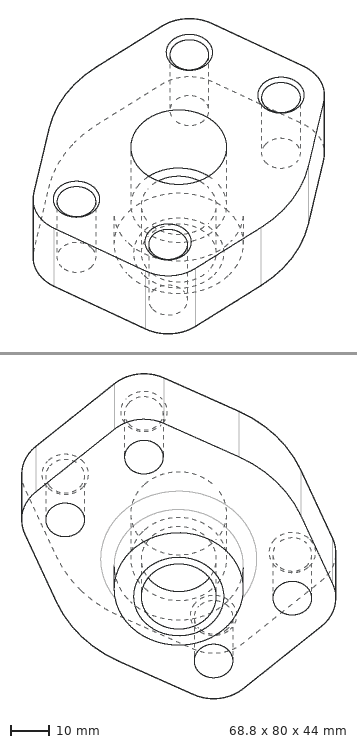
import cadquery as cq
import math

width = 68.8
length = 80.0
plate_height = 24.2
total_height = 44.0

bolt_x = 13.9
bolt_y = 28.6
bolt_diameter = 10.1
countersink_diameter = 12.1
corner_radius = length / 2 - bolt_y
side_radius = width / 2

neck_diameter = 33.7
neck_tip_diameter = 23.5
neck_chamfer_height = 4.0
neck_fillet = 3.5

bore_diameter = 19.5
counterbore_diameter = 25.0
counterbore_depth = plate_height

centre_distance = math.hypot(bolt_x, bolt_y)
flank_angle = math.atan2(bolt_y, bolt_x) - math.acos((side_radius - corner_radius) / centre_distance)
corner_mid_angle = (flank_angle + math.pi / 2) / 2


def corner_point(angle, x_sign, y_sign):
    """Point on a plate corner arc, mirrored into the chosen quadrant."""
    x = bolt_x + corner_radius * math.cos(angle)
    y = bolt_y + corner_radius * math.sin(angle)
    return (x_sign * x, y_sign * y)


def side_point(x_sign, y_sign):
    """End of a side arc, where it meets a straight flank."""
    x = side_radius * math.cos(flank_angle)
    y = side_radius * math.sin(flank_angle)
    return (x_sign * x, y_sign * y)


def make_plate():
    outline = cq.Workplane("XY").moveTo(*side_point(1, -1))
    for sign in (1, -1):
        outline = (
            outline.threePointArc((sign * side_radius, 0), side_point(sign, sign))
            .lineTo(*corner_point(flank_angle, sign, sign))
            .threePointArc(
                corner_point(corner_mid_angle, sign, sign),
                corner_point(math.pi / 2, sign, sign),
            )
            .lineTo(*corner_point(math.pi / 2, -sign, sign))
            .threePointArc(
                corner_point(corner_mid_angle, -sign, sign),
                corner_point(flank_angle, -sign, sign),
            )
            .lineTo(*side_point(-sign, sign))
        )
    return outline.close().extrude(plate_height)


def make_neck():
    """Revolved neck with a tapered tip and a fillet blending into the plate."""
    radius = neck_diameter / 2
    tip_radius = neck_tip_diameter / 2
    bottom = plate_height - total_height
    arc_offset = neck_fillet * (1 - math.sqrt(0.5))
    return (
        cq.Workplane("XZ")
        .moveTo(0, bottom)
        .lineTo(tip_radius, bottom)
        .lineTo(radius, bottom + neck_chamfer_height)
        .lineTo(radius, -neck_fillet)
        .threePointArc((radius + arc_offset, -arc_offset), (radius + neck_fillet, 0))
        .lineTo(radius + neck_fillet, plate_height / 2)
        .lineTo(0, plate_height / 2)
        .close()
        .revolve(360, (0, 0, 0), (0, 1, 0))
    )


def add_holes(body):
    bolt_points = [(x, y) for x in (-bolt_x, bolt_x) for y in (-bolt_y, bolt_y)]
    top = cq.Workplane("XY").workplane(offset=plate_height)
    body = body.cut(top.circle(bore_diameter / 2).extrude(-total_height))
    body = body.cut(top.circle(counterbore_diameter / 2).extrude(-counterbore_depth))
    return (
        body.faces(">Z")
        .workplane(origin=(0, 0, plate_height))
        .pushPoints(bolt_points)
        .cskHole(bolt_diameter, countersink_diameter, 90)
    )


result = add_holes(make_plate().union(make_neck()))